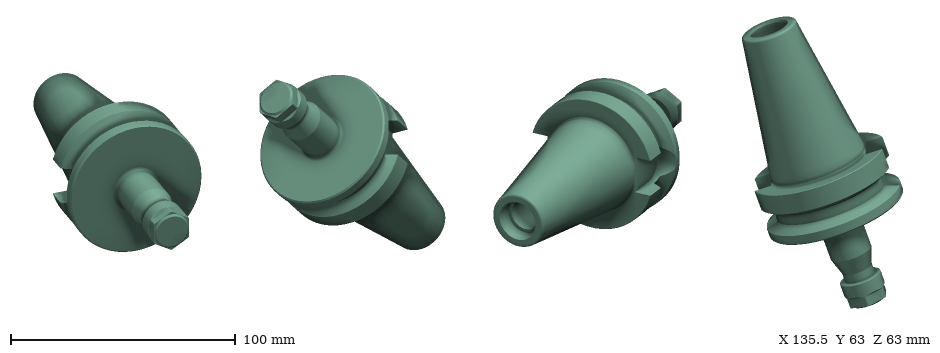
import cadquery as cq
import math

total_length = 135.5

taper_length = 65.3
taper_radius = 44.5 / 2
taper_slope = 7 / 48
taper_angle = math.atan(taper_slope)
taper_end_radius = taper_radius - taper_length * taper_slope
taper_round = 1.4
round_end_x = taper_round * (1 - math.sin(taper_angle))
round_end_radius = taper_end_radius + round_end_x * taper_slope
end_face_radius = round_end_radius - taper_round * math.cos(taper_angle)

flange_start = 67.3
flange_end = 92.3
flange_radius = 63.0 / 2
drive_ring_radius = 31.3
drive_ring_end = 76.8
groove_start = 79.7
groove_end = 84.5
groove_radius = 26.4
rear_rim_start = 87.5
rim_chamfer = 0.7
drive_ring_chamfer = 0.3
root_round = 0.7

slot_half_width = 17.2 / 2
slot_floor = taper_radius

shank_radius = 19.1 / 2
shank_end = 111.4
shank_round = 1.5
neck_radius = 14.0 / 2
neck_start = 119.2

nut_start = 123.5
nut_radius = shank_radius
nut_chamfer = 0.3
nut_end = 134.7
tip_base_radius = 8.3
tip_radius = 7.5
hex_sides = 6
flat_distance = 8.4
flat_start = 130.2
flat_lead_length = 0.8

bore_radius = 17.2 / 2
bore_depth = 7.2
bore_chamfer = 0.5
bore_chamfer_length = 1.0
inner_bore_radius = 13.8 / 2
inner_bore_depth = 24.4


def turned(profile):
    """Revolve a half profile in the XY plane about the X axis."""
    return profile.close().revolve(360, (0, 0, 0), (1, 0, 0))


def make_body():
    profile = (
        cq.Workplane("XY")
        .lineTo(0, end_face_radius)
        .radiusArc((round_end_x, round_end_radius), taper_round)
        .lineTo(taper_length, taper_radius)
        .lineTo(flange_start - root_round, taper_radius)
        .radiusArc((flange_start, taper_radius + root_round), -root_round)
        .lineTo(flange_start, drive_ring_radius - drive_ring_chamfer)
        .lineTo(flange_start + drive_ring_chamfer, drive_ring_radius)
        .lineTo(drive_ring_end, drive_ring_radius)
        .lineTo(groove_start, groove_radius)
        .lineTo(groove_end, groove_radius)
        .lineTo(rear_rim_start, flange_radius)
        .lineTo(flange_end - rim_chamfer, flange_radius)
        .lineTo(flange_end, flange_radius - rim_chamfer)
        .lineTo(flange_end, shank_radius + shank_round)
        .radiusArc((flange_end + shank_round, shank_radius), -shank_round)
        .lineTo(shank_end, shank_radius)
        .lineTo(neck_start, neck_radius)
        .lineTo(nut_start, neck_radius)
        .lineTo(nut_start, nut_radius - nut_chamfer)
        .lineTo(nut_start + nut_chamfer, nut_radius)
        .lineTo(nut_end, nut_radius)
        .lineTo(nut_end, tip_base_radius)
        .lineTo(total_length, tip_radius)
        .lineTo(total_length, 0)
    )
    return turned(profile)


def make_bore():
    profile = (
        cq.Workplane("XY")
        .lineTo(0, bore_radius + bore_chamfer)
        .lineTo(bore_chamfer_length, bore_radius)
        .lineTo(bore_depth, bore_radius)
        .lineTo(bore_depth, inner_bore_radius)
        .lineTo(inner_bore_depth, inner_bore_radius)
        .lineTo(inner_bore_depth, 0)
    )
    return turned(profile)


def make_drive_slot():
    """Slot on the +Y side, open toward the taper and rounded at its far end."""
    return (
        cq.Workplane("XZ", origin=(0, slot_floor, 0))
        .moveTo(taper_length, -slot_half_width)
        .lineTo(groove_start, -slot_half_width)
        .threePointArc((groove_start + slot_half_width, 0), (groove_start, slot_half_width))
        .lineTo(taper_length, slot_half_width)
        .close()
        .extrude(-flange_radius)
    )


def make_hex_flat():
    """Cutter for the nut flat on the +Y side, with a sloping lead-in."""
    return (
        cq.Workplane("XY")
        .moveTo(flat_start, flat_distance)
        .lineTo(flat_start - flat_lead_length, nut_radius)
        .lineTo(total_length, nut_radius)
        .lineTo(total_length, flat_distance)
        .close()
        .extrude(nut_radius, both=True)
    )


result = make_body().cut(make_bore())

for angle in (0, 180):
    result = result.cut(make_drive_slot().rotate((0, 0, 0), (1, 0, 0), angle))

for side in range(hex_sides):
    result = result.cut(make_hex_flat().rotate((0, 0, 0), (1, 0, 0), side * 360 / hex_sides))